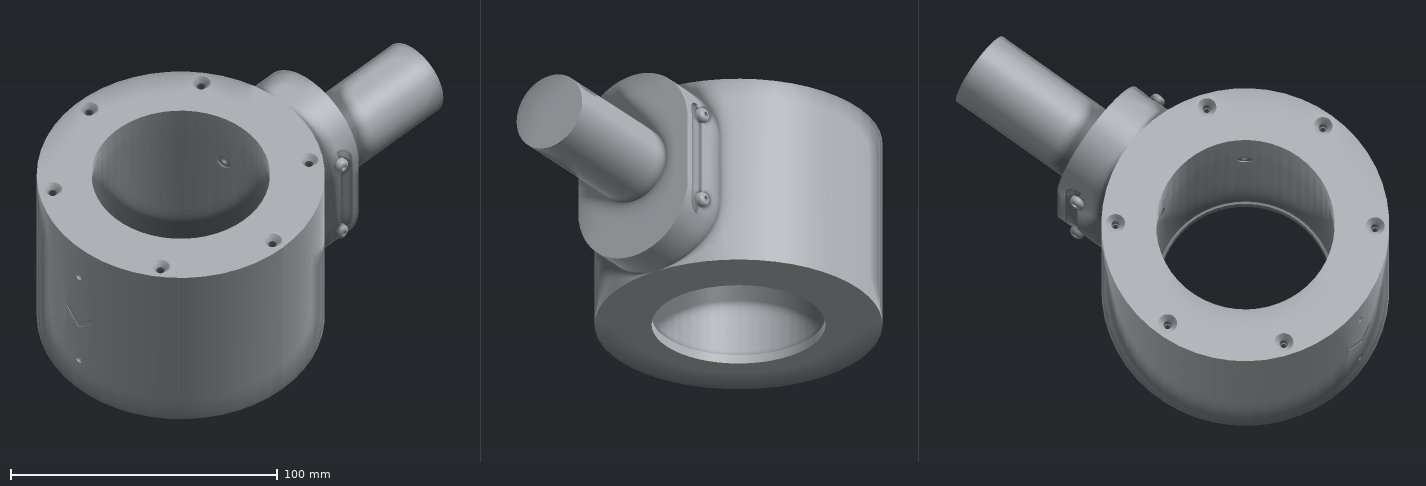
import cadquery as cq
import math

BODY_RADIUS = 54.0
BODY_HEIGHT = 76.0
BORE_RADIUS = 33.5
LIP_RADIUS = 32.6
LIP_HEIGHT = 3.5
TOTAL_LENGTH = 178.4

NECK_WIDTH = 50.0
NECK_END_Y = 69.4
TUBE_RADIUS = 15.0
TUBE_END_Y = TOTAL_LENGTH - BODY_RADIUS

POCKET_DEPTH = 1.0
POCKET_LENGTH = 46.4
POCKET_START_Y = 60.0
POCKET_RADIUS = 6.5
SCREW_SPACING = 35.3
SCREW_HEAD_RADIUS = 2.9
SCREW_HEAD_BASE_X = 24.0
SCREW_HEAD_TOP_X = 27.0
SCREW_HEAD_ROUND = 1.6
SCREW_SHANK_RADIUS = 1.5
SCREW_SOCKET_RADIUS = 1.0
SCREW_SOCKET_DEPTH = 1.6

TOP_HOLE_CIRCLE_RADIUS = 48.7
TOP_HOLE_ANGLES = (0, 54, 126, 180, 234, 306)
COUNTERSINK_RADIUS = 3.5
CLEARANCE_RADIUS = 1.6
CLEARANCE_DEPTH = 5.4
TAP_RADIUS = 1.0
TAP_DEPTH = 14.3

SOCKET_ANGLES = (37, 106)
SOCKET_Z = 14.8
SOCKET_RADIUS = 2.9
SOCKET_DEPTH = 0.4
SOCKET_HOLE_RADIUS = 1.0
SOCKET_HOLE_DEPTH = 2.7

FRONT_HOLE_RADIUS = 1.34
FRONT_HOLE_SPACING = 44.6
FRONT_HOLE_DEPTH = 5.4
ARROW_HALF_SPAN = 5.7
ARROW_END_Z = 2.3
ARROW_POINT_Z = -3.2
ARROW_STROKE = 2.3
ARROW_DEPTH = 0.2


def rod(radius, length, start, direction):
    """Cylinder from a start point along a unit direction."""
    return cq.Workplane(cq.Solid.makeCylinder(radius, length, cq.Vector(*start), cq.Vector(*direction)))


def drilled(radius, depth, start, direction):
    """Blind hole, cylindrical to its depth along a unit direction, ending in a 90 degree conical tip."""
    axis = cq.Vector(*direction)
    tip_base = cq.Vector(*start) + axis * depth
    tip = cq.Solid.makeCone(radius, 0, radius, tip_base, axis)
    return rod(radius, depth, start, direction).union(cq.Workplane(tip))


def neck_section(offset=0.0):
    """Upright stadium outline in the XZ plane, shrunk inward by offset, extruded from the body axis."""
    height = BODY_HEIGHT - 2 * offset
    width = NECK_WIDTH - 2 * offset
    return cq.Workplane("XZ").slot2D(height, width, 90).extrude(-NECK_END_Y)


def make_shell():
    bottom = (0, 0, -BODY_HEIGHT / 2)
    body = rod(BODY_RADIUS, BODY_HEIGHT, bottom, (0, 0, 1))
    tube = rod(TUBE_RADIUS, TUBE_END_Y, (0, 0, 0), (0, 1, 0))
    lip_top = LIP_HEIGHT - BODY_HEIGHT / 2
    bore = rod(BORE_RADIUS, BODY_HEIGHT, (0, 0, lip_top), (0, 0, 1))
    lip_bore = rod(LIP_RADIUS, BODY_HEIGHT, bottom, (0, 0, 1))
    return body.union(neck_section()).union(tube).cut(bore).cut(lip_bore)


def side_pockets():
    """Tube-side halves of upright slots, cut to an even depth into both sides of the neck."""
    slot = (
        cq.Workplane("YZ")
        .center(POCKET_START_Y, 0)
        .slot2D(POCKET_LENGTH, 2 * POCKET_RADIUS, 90)
        .extrude(NECK_WIDTH, both=True)
    )
    body_side = cq.Workplane("XY").box(2 * NECK_WIDTH, 2 * POCKET_START_Y, BODY_HEIGHT)
    return slot.cut(body_side).cut(neck_section(POCKET_DEPTH))


def button_screw(side, z):
    """Button-head screw with its axis along X; side is +1 or -1."""
    outward = (side, 0, 0)
    head_height = SCREW_HEAD_TOP_X - SCREW_HEAD_BASE_X
    base = (side * SCREW_HEAD_BASE_X, POCKET_START_Y, z)
    tip = (side * SCREW_HEAD_TOP_X, POCKET_START_Y, z)
    rim = ">X" if side > 0 else "<X"
    head = rod(SCREW_HEAD_RADIUS, head_height, base, outward).faces(rim).edges().fillet(SCREW_HEAD_ROUND)
    shank = rod(SCREW_SHANK_RADIUS, SCREW_HEAD_RADIUS, base, (-side, 0, 0))
    socket = drilled(SCREW_SOCKET_RADIUS, SCREW_SOCKET_DEPTH, tip, (-side, 0, 0))
    return head.union(shank).cut(socket)


def top_hole(angle):
    x = TOP_HOLE_CIRCLE_RADIUS * math.cos(math.radians(angle))
    y = TOP_HOLE_CIRCLE_RADIUS * math.sin(math.radians(angle))
    top = (x, y, BODY_HEIGHT / 2)
    sink_depth = COUNTERSINK_RADIUS - CLEARANCE_RADIUS
    sink = cq.Solid.makeCone(
        COUNTERSINK_RADIUS, CLEARANCE_RADIUS, sink_depth, cq.Vector(*top), cq.Vector(0, 0, -1)
    )
    clearance = rod(CLEARANCE_RADIUS, CLEARANCE_DEPTH, top, (0, 0, -1))
    tap = drilled(TAP_RADIUS, TAP_DEPTH, top, (0, 0, -1))
    return clearance.union(tap).union(cq.Workplane(sink))


def bore_socket(angle):
    outward = (math.cos(math.radians(angle)), math.sin(math.radians(angle)), 0)
    axis_point = (0, 0, SOCKET_Z)
    recess = rod(SOCKET_RADIUS, BORE_RADIUS + SOCKET_DEPTH, axis_point, outward)
    hole = drilled(SOCKET_HOLE_RADIUS, BORE_RADIUS + SOCKET_HOLE_DEPTH, axis_point, outward)
    return recess.union(hole)


def arrow():
    """Downward-pointing arrow of even depth in the front of the cylinder."""
    arm_x = ARROW_HALF_SPAN
    arm_z = ARROW_END_Z - ARROW_POINT_Z
    arm_length = math.hypot(arm_x, arm_z)
    slope = math.degrees(math.atan2(arm_z, arm_x))
    core = rod(BODY_RADIUS - ARROW_DEPTH, BODY_HEIGHT, (0, 0, -BODY_HEIGHT / 2), (0, 0, 1))
    arms = (
        cq.Workplane("XZ")
        .center(side * arm_x / 2, (ARROW_END_Z + ARROW_POINT_Z) / 2)
        .slot2D(arm_length + ARROW_STROKE, ARROW_STROKE, side * slope)
        .extrude(BODY_RADIUS)
        for side in (-1, 1)
    )
    left_arm, right_arm = arms
    return left_arm.union(right_arm).cut(core)


result = make_shell().cut(side_pockets())
for side in (-1, 1):
    for z in (-SCREW_SPACING / 2, SCREW_SPACING / 2):
        result = result.union(button_screw(side, z))
for angle in TOP_HOLE_ANGLES:
    result = result.cut(top_hole(angle))
for angle in SOCKET_ANGLES:
    result = result.cut(bore_socket(angle))
for z in (-FRONT_HOLE_SPACING / 2, FRONT_HOLE_SPACING / 2):
    result = result.cut(drilled(FRONT_HOLE_RADIUS, FRONT_HOLE_DEPTH, (0, -BODY_RADIUS, z), (0, 1, 0)))
result = result.cut(arrow())